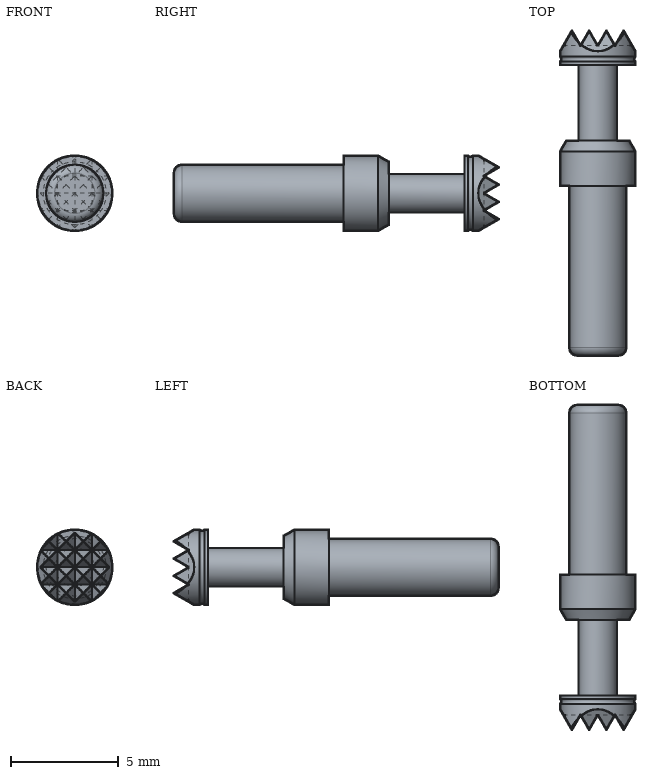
import cadquery as cq
import math

LENGTH = 15.1
HEAD_END = 1.6
COLLAR_START = 5.1
COLLAR_CHAMFER_LENGTH = 0.5
COLLAR_END = 7.2

HEAD_DIAMETER = 3.5
STEM_DIAMETER = 1.8
COLLAR_DIAMETER = HEAD_DIAMETER
COLLAR_CHAMFER_DEPTH = 0.29
BARREL_DIAMETER = 2.66
BARREL_END_FILLET = 0.4

GROOVE_START = 1.21
GROOVE_END = 1.43
GROOVE_DEPTH = 0.053

POINTS_PER_ROW = 4
POINT_PITCH = 0.8
POINT_HALF_ANGLE = 30.0

TIP_Y = LENGTH / 2
HEAD_RADIUS = HEAD_DIAMETER / 2
OUTER_TIP = POINT_PITCH * (POINTS_PER_ROW - 1) / 2


def cylinder(diameter, start, end):
    """Cylinder on the Y axis between two distances from the tips."""
    circle = cq.Workplane("XZ", origin=(0, TIP_Y - start, 0)).circle(diameter / 2)
    return circle.extrude(end - start)


def make_crown_row():
    """Zigzag prism along Z; its slopes form one direction of the crown."""
    cut_half_width = HEAD_DIAMETER
    flank_slope = 1 / math.tan(math.radians(POINT_HALF_ANGLE))
    side_y = TIP_Y - (cut_half_width - OUTER_TIP) * flank_slope
    valley_y = TIP_Y - POINT_PITCH / 2 * flank_slope
    outline = [(-cut_half_width, side_y)]
    for index in range(POINTS_PER_ROW):
        tip_x = index * POINT_PITCH - OUTER_TIP
        if index > 0:
            outline.append((tip_x - POINT_PITCH / 2, valley_y))
        outline.append((tip_x, TIP_Y))
    outline.append((cut_half_width, side_y))
    outline.append((cut_half_width, -TIP_Y))
    outline.append((-cut_half_width, -TIP_Y))
    return cq.Workplane("XY").polyline(outline).close().extrude(HEAD_RADIUS, both=True)


def make_groove_cutter():
    """Ring with a rounded floor that cuts the groove around the head."""
    floor_radius = HEAD_RADIUS - GROOVE_DEPTH
    groove_middle = (GROOVE_START + GROOVE_END) / 2
    section = (
        cq.Workplane("XY")
        .moveTo(HEAD_RADIUS, TIP_Y - GROOVE_START)
        .threePointArc((floor_radius, TIP_Y - groove_middle), (HEAD_RADIUS, TIP_Y - GROOVE_END))
        .close()
    )
    return section.revolve(360, (0, 0, 0), (0, 1, 0))


def make_head():
    """Disc with the crown of points at its front and the groove around it."""
    row = make_crown_row()
    crossing_row = row.rotate((0, 0, 0), (0, 1, 0), 90)
    head = cylinder(HEAD_DIAMETER, 0, HEAD_END)
    return head.intersect(row).intersect(crossing_row).cut(make_groove_cutter())


def make_collar():
    """Collar whose front edge tapers down toward the stem."""
    taper_end = COLLAR_START + COLLAR_CHAMFER_LENGTH
    section = [
        (0, TIP_Y - COLLAR_START),
        (COLLAR_DIAMETER / 2 - COLLAR_CHAMFER_DEPTH, TIP_Y - COLLAR_START),
        (COLLAR_DIAMETER / 2, TIP_Y - taper_end),
        (COLLAR_DIAMETER / 2, TIP_Y - COLLAR_END),
        (0, TIP_Y - COLLAR_END),
    ]
    return cq.Workplane("XY").polyline(section).close().revolve(360, (0, 0, 0), (0, 1, 0))


def make_barrel():
    """Plain barrel with a rounded free end."""
    barrel = cylinder(BARREL_DIAMETER, COLLAR_END, LENGTH)
    return barrel.faces("<Y").edges().fillet(BARREL_END_FILLET)


stem = cylinder(STEM_DIAMETER, HEAD_END, COLLAR_START)
result = make_head().union(stem).union(make_collar()).union(make_barrel())